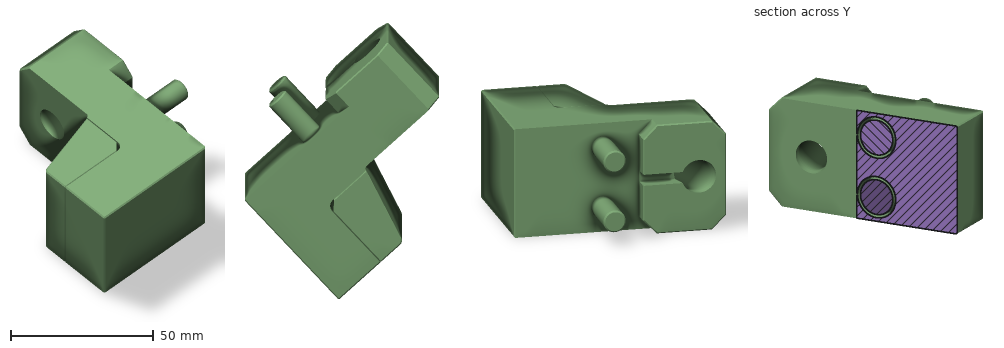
import cadquery as cq
import math

LENGTH = 75.0
HEIGHT = 40.0
MID_Z = HEIGHT / 2
TAB_BACK_Y = 56.0
STEP_Y = 49.0
ARM_FRONT_Y = 29.0
SEAT_Y = 28.0
TAB_LENGTH = 30.0
TAB_CHAMFER = 5.0
EDGE_CHAMFER = 0.45

JAW_TILT = 16.0
SLOPE = math.radians(JAW_TILT)

JAW_LEFT_X = 36.15
WALL_X = 55.0
CORNER_RADIUS = 3.0
JAW_CORNER_CHAMFER = 3.5
JAW_NOSE_RADIUS = 2.0

HOLE_DIAMETER = 12.0
HOLE_TILT = 15.0
HOLE_TILT_TAN = math.tan(math.radians(HOLE_TILT))
HOLE_X = 17.1
SLOT_WIDTH = 4.05
SLOT_DEPTH = 5.5

SCREW_X = 43.0
SCREW_SPACING = 22.0
SCREW_DIAMETER = 8.0
SCREW_TIP_Y = 67.0
SCREW_TIP_CHAMFER = 0.5
HEAD_DIAMETER = 13.0
HEAD_HEIGHT = 8.0
RECESS_DIAMETER = 15.0
RECESS_DEPTH = 9.0

SCREW_CENTRES_Z = [MID_Z - SCREW_SPACING / 2, MID_Z + SCREW_SPACING / 2]
PICK_SLACK = 0.1
HEAD_SEAT_Y = SEAT_Y + RECESS_DEPTH


def y_cylinder(x, z, diameter, start_y, end_y):
    """Cylinder along +Y between two Y positions."""
    start = cq.Vector(x, start_y, z)
    cylinder = cq.Solid.makeCylinder(diameter / 2, end_y - start_y, start, cq.Vector(0, 1, 0))
    return cq.Workplane("XY").add(cylinder)


def housing_blank():
    """L-shaped block with a rear tab and a concave lip running into the jaw slope."""
    lip_height = ARM_FRONT_Y - SEAT_Y
    lip_radius = lip_height / (1 - math.sin(SLOPE))
    lip_start_x = JAW_LEFT_X - lip_radius * math.cos(SLOPE)
    return (
        cq.Workplane("XY")
        .moveTo(0, ARM_FRONT_Y)
        .lineTo(lip_start_x, ARM_FRONT_Y)
        .tangentArcPoint((JAW_LEFT_X, SEAT_Y), relative=False)
        .lineTo(WALL_X - CORNER_RADIUS, SEAT_Y)
        .tangentArcPoint((WALL_X, SEAT_Y - CORNER_RADIUS), relative=False)
        .lineTo(WALL_X, 0)
        .lineTo(LENGTH, 0)
        .lineTo(LENGTH, STEP_Y)
        .lineTo(TAB_LENGTH, STEP_Y)
        .lineTo(TAB_LENGTH, TAB_BACK_Y)
        .lineTo(0, TAB_BACK_Y)
        .close()
        .extrude(HEIGHT)
    )


def edges_within(corner, opposite):
    """Selector for edges centred in the box between two corners, with a little slack."""
    slack = cq.Vector(PICK_SLACK, PICK_SLACK, PICK_SLACK)
    low = cq.Vector(*corner) - slack
    high = cq.Vector(*opposite) + slack
    return cq.selectors.BoxSelector(low.toTuple(), high.toTuple())


def chamfer_tab(body):
    """Large chamfers at both ends of the tab; the one at -X runs on along the arm."""
    inner_end = edges_within((TAB_LENGTH, STEP_Y, 0), (TAB_LENGTH, TAB_BACK_Y, HEIGHT))
    body = body.edges("|Y and <X").chamfer(TAB_CHAMFER)
    return body.edges("|Y").edges(inner_end).chamfer(TAB_CHAMFER)


def break_housing_edges(body):
    """Small chamfers round the tab's rear face, the arm's front end and the outer faces."""
    arm_front_end = edges_within((0, ARM_FRONT_Y, 0), (TAB_CHAMFER, ARM_FRONT_Y, HEIGHT))
    outer_edges = body.faces("<Y").edges("|X").add(body.faces(">X").edges())
    body = outer_edges.chamfer(EDGE_CHAMFER)
    body = body.edges(arm_front_end).chamfer(EDGE_CHAMFER)
    return body.faces(">Y").edges().chamfer(EDGE_CHAMFER)


def guide_hole():
    """Inclined hole that leans toward -X as it goes back, cut well past both faces."""
    reach = TAB_BACK_Y
    direction = cq.Vector(-HOLE_TILT_TAN, 1, 0)
    centre = cq.Vector(HOLE_X, ARM_FRONT_Y, MID_Z)
    cutter = cq.Solid.makeCylinder(
        HOLE_DIAMETER / 2, 2 * reach, centre - direction.normalized() * reach, direction
    )
    return cq.Workplane("XY").add(cutter)


def slot():
    """Slot across the tab, from the guide hole out through the tab's +X end."""
    floor_y = TAB_BACK_Y - SLOT_DEPTH
    start_x = HOLE_X - (floor_y - ARM_FRONT_Y) * HOLE_TILT_TAN
    return (
        cq.Workplane("XY")
        .box(TAB_LENGTH - start_x, SLOT_DEPTH, SLOT_WIDTH, centered=(False, False, True))
        .translate((start_x, floor_y, MID_Z))
    )


def make_housing():
    """Housing with the guide hole, the slot and the two screw seats."""
    body = break_housing_edges(chamfer_tab(housing_blank()))
    body = body.cut(guide_hole()).cut(slot())
    for z in SCREW_CENTRES_Z:
        body = body.cut(y_cylinder(SCREW_X, z, RECESS_DIAMETER, SEAT_Y, HEAD_SEAT_Y))
        body = body.cut(y_cylinder(SCREW_X, z, SCREW_DIAMETER, HEAD_SEAT_Y, STEP_Y))
    return body


def make_jaw():
    """Wedge-shaped jaw seated in the corner of the housing."""
    nose_x = JAW_LEFT_X + SEAT_Y * math.tan(SLOPE)
    corner_x = WALL_X - JAW_CORNER_CHAMFER
    corner_y = SEAT_Y - JAW_CORNER_CHAMFER
    outline = [
        (JAW_LEFT_X, SEAT_Y),
        (nose_x, 0),
        (WALL_X, 0),
        (WALL_X, corner_y),
        (corner_x, SEAT_Y),
    ]
    body = cq.Workplane("XY").polyline(outline).close().extrude(HEIGHT)
    nose = edges_within((nose_x, 0, 0), (nose_x, 0, HEIGHT))
    body = body.edges("|Z").edges(nose).fillet(JAW_NOSE_RADIUS)

    diagonal_x = (corner_x + WALL_X) / 2
    diagonal_y = (corner_y + SEAT_Y) / 2
    diagonal = edges_within((diagonal_x, diagonal_y, 0), (diagonal_x, diagonal_y, HEIGHT))
    rims = body.faces("|Z").edges(cq.selectors.InverseSelector(diagonal))
    front_wall_edge = body.faces("<Y").edges("|Z and >X")
    return rims.add(front_wall_edge).chamfer(EDGE_CHAMFER)


def make_screw(z):
    """Cap screw along +Y, its head in the housing recess and its tip standing out behind."""
    head = y_cylinder(SCREW_X, z, HEAD_DIAMETER, HEAD_SEAT_Y - HEAD_HEIGHT, HEAD_SEAT_Y)
    shank = y_cylinder(SCREW_X, z, SCREW_DIAMETER, HEAD_SEAT_Y, SCREW_TIP_Y)
    shank = shank.faces(">Y").chamfer(SCREW_TIP_CHAMFER)
    return head.union(shank)


housing = make_housing()
jaw = make_jaw()
screws = [make_screw(z) for z in SCREW_CENTRES_Z]
result = cq.Compound.makeCompound([housing.val(), jaw.val(), *[screw.val() for screw in screws]])